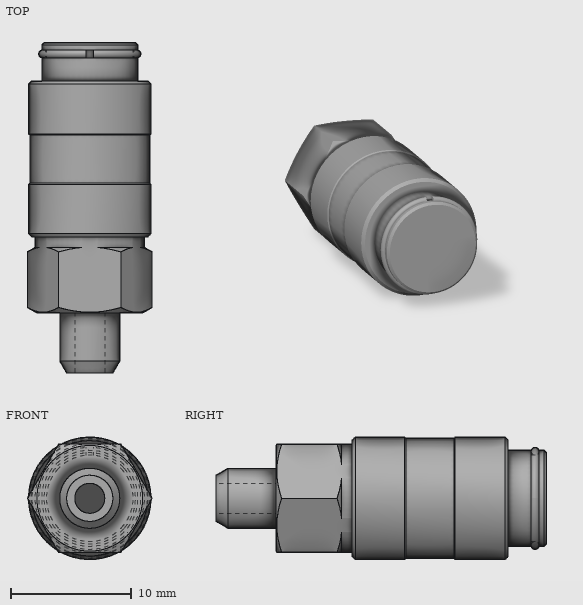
import cadquery as cq
import math


total_length = 27.5
stem_length = 5.0
stem_taper_length = 1.0
hex_length = 5.45
neck_length = 0.85
sleeve_length = 13.0
sleeve_land_length = 4.4
ring_setback = 0.95

stem_radius = 2.5
bore_radius = 1.25
hex_across_flats = 9.0
hex_face_radius = 4.4
neck_radius = 4.55
sleeve_radius = 5.1
sleeve_waist_radius = 5.0
plug_radius = 4.0
ring_outer_radius = 4.25
ring_wire_diameter = 0.65
ring_gap = 0.6

taper_angle = math.radians(30)
sleeve_front_chamfer = 0.3
sleeve_back_chamfer = 0.25
plug_chamfer = 0.2

hex_front = stem_length
hex_back = hex_front + hex_length
sleeve_front = hex_back + neck_length
waist_front = sleeve_front + sleeve_land_length
sleeve_back = sleeve_front + sleeve_length
waist_back = sleeve_back - sleeve_land_length
ring_middle = total_length - ring_setback

hex_corner_radius = hex_across_flats / 2 / math.cos(math.pi / 6)
wire_radius = ring_wire_diameter / 2
ring_middle_radius = ring_outer_radius - wire_radius
groove_radius = ring_middle_radius - wire_radius
waist_step = sleeve_radius - sleeve_waist_radius


def turned(points):
    """Revolve a closed (radius, y) outline about the Y axis."""
    return cq.Workplane("XY").polyline(points).close().revolve(360, (0, 0), (0, 1))


def cylinder(radius, start, length):
    """Solid cylinder on the Y axis from start towards +Y."""
    return turned([(0, start), (radius, start), (radius, start + length), (0, start + length)])


def hexagon():
    """Hexagon with corners on the X axis, its corners chamfered by a cone at each end."""
    front_rise = (hex_corner_radius - hex_face_radius) * math.tan(taper_angle)
    back_rise = (hex_corner_radius - neck_radius) * math.tan(taper_angle)
    envelope = turned([
        (0, hex_front),
        (hex_face_radius, hex_front),
        (hex_corner_radius, hex_front + front_rise),
        (hex_corner_radius, hex_back - back_rise),
        (neck_radius, hex_back),
        (neck_radius, sleeve_front),
        (0, sleeve_front),
    ])
    prism = (
        cq.Workplane("XZ", origin=(0, hex_front, 0))
        .polygon(6, 2 * hex_corner_radius)
        .extrude(-(hex_length + neck_length))
    )
    return prism.intersect(envelope)


def stem():
    """Hose stem with a tapered tip."""
    tip_radius = stem_radius - stem_taper_length * math.tan(taper_angle)
    return turned([
        (0, 0),
        (tip_radius, 0),
        (stem_radius, stem_taper_length),
        (stem_radius, stem_length),
        (0, stem_length),
    ])


def sleeve():
    """Gripping sleeve with a slightly thinner waist between 45 degree steps, and chamfered ends."""
    return turned([
        (0, sleeve_front),
        (sleeve_radius - sleeve_front_chamfer, sleeve_front),
        (sleeve_radius, sleeve_front + sleeve_front_chamfer),
        (sleeve_radius, waist_front),
        (sleeve_waist_radius, waist_front + waist_step),
        (sleeve_waist_radius, waist_back - waist_step),
        (sleeve_radius, waist_back),
        (sleeve_radius, sleeve_back - sleeve_back_chamfer),
        (sleeve_radius - sleeve_back_chamfer, sleeve_back),
        (0, sleeve_back),
    ])


def plug():
    """Rear plug with a square groove for the snap ring."""
    groove_front = ring_middle - wire_radius
    groove_back = ring_middle + wire_radius
    return turned([
        (0, sleeve_back),
        (plug_radius, sleeve_back),
        (plug_radius, groove_front),
        (groove_radius, groove_front),
        (groove_radius, groove_back),
        (plug_radius, groove_back),
        (plug_radius, total_length - plug_chamfer),
        (plug_radius - plug_chamfer, total_length),
        (0, total_length),
    ])


def make_housing():
    """Stem, hexagon, sleeve and plug in one piece, with a blind bore as deep as the stem."""
    body = stem().union(hexagon()).union(sleeve()).union(plug())
    return body.cut(cylinder(bore_radius, 0, stem_length))


def make_snap_ring():
    """Round-wire ring seated in the groove, open at the top."""
    ring = (
        cq.Workplane("XY")
        .center(ring_middle_radius, ring_middle)
        .circle(wire_radius)
        .revolve(360, (-ring_middle_radius, 0), (-ring_middle_radius, 1))
    )
    opening = (
        cq.Workplane("XY", origin=(0, ring_middle, 0))
        .rect(ring_gap, 2 * ring_wire_diameter)
        .extrude(ring_outer_radius + wire_radius)
    )
    return ring.cut(opening)


housing = make_housing()
snap_ring = make_snap_ring()

result = cq.Compound.makeCompound([housing.val(), snap_ring.val()])